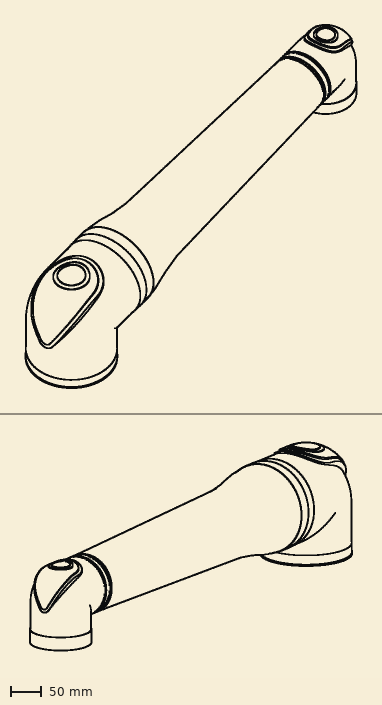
import cadquery as cq
import math

JOINT_SPACING = 732.0
ARM_AXIS_Z = 107.0
EDGE_STEP = 1.0

LARGE_RADIUS = 75.0
LARGE_FOOT_HEIGHT = 18.0
LIP_HEIGHT = 3.0
COLLAR_START = 90.0
COLLAR_SPLIT = 107.0
COLLAR_END = 128.0

SMALL_RADIUS = 50.0
SMALL_BOTTOM_Z = 26.0
SMALL_FOOT_HEIGHT = 22.0
SMALL_TUBE_LENGTH = 77.0
GROOVE_DEPTH = 2.0
GROOVES = ((59.0, 3.5), (75.0, 5.0))

FLARE_START = 227.5
FLARE_RADIUS = 60.0

BEND_RADIUS = 21.5
CAP_RISE = 3.5
RIM_RISE = 2.0
RIM_WIDTH = 5.0
CAP_NOSE_RADIUS = 51.5
CAP_NOSE_OFFSET = 37.0
CAP_SIDE_RADIUS = 160.5
CAP_TIP_RADIUS = 17.0
RING_OUTER_RADIUS = 30.0
RING_INNER_RADIUS = 23.0
RING_DEPTH = 1.3


def disc(radius, bottom, height):
    """Vertical cylinder on the Z axis."""
    return cq.Workplane("XY").workplane(offset=bottom).circle(radius).extrude(height)


def tube(radius, start, end, axis_z=ARM_AXIS_Z):
    """Cylinder along Y at the given axis height."""
    plane = cq.Plane(origin=(0, start, axis_z), xDir=(1, 0, 0), normal=(0, 1, 0))
    return cq.Workplane(plane).circle(radius).extrude(end - start)


def elbow(radius, bend_radius, bottom, tube_end):
    """Pipe bend from a vertical foot into a tube along +Y, creased at the inner corner."""
    bend_z = ARM_AXIS_Z - bend_radius
    half_chord = math.sqrt(radius**2 - bend_radius**2)
    plane = cq.Plane(origin=(0, bend_radius, bend_z), xDir=(1, 0, 0), normal=(0, -1, 0))
    bend = (
        cq.Workplane(plane)
        .moveTo(-half_chord, 0)
        .threePointArc((0, bend_radius + radius), (half_chord, 0))
        .close()
        .revolve(90, (0, 0), (1, 0))
    )
    foot = disc(radius, bottom, bend_z - bottom)
    return bend.union(foot).union(tube(radius, bend_radius, tube_end))


def cap_blank(radius, axis_z):
    """Ball-ended tube with a matching vertical stem, from which the cap is trimmed."""
    ball = cq.Workplane("XY").sphere(radius).translate((0, 0, axis_z))
    stem = disc(radius, axis_z - radius, radius)
    return ball.union(stem).union(tube(radius, 0, radius, axis_z))


def cap_outline(scale, inset):
    """Egg-shaped prism pointing diagonally up and away from the arm."""
    nose = (CAP_NOSE_RADIUS - inset) * scale
    nose_at = CAP_NOSE_OFFSET * scale
    side = (CAP_SIDE_RADIUS - inset) * scale
    tip = (CAP_TIP_RADIUS - inset) * scale
    tip_at = nose_at - math.sqrt((side - tip)**2 - (side - nose)**2)
    end_angle = math.acos((nose_at - tip_at) / (side - tip))
    tip_s = tip_at - tip * math.cos(end_angle)
    tip_x = tip * math.sin(end_angle)
    mid_angle = (end_angle + math.pi / 2) / 2
    mid_s = nose_at - side * math.cos(mid_angle)
    mid_x = nose - side + side * math.sin(mid_angle)
    plane = cq.Plane(origin=(0, 0, ARM_AXIS_Z), xDir=(0, 1, 1), normal=(0, -1, 1))
    return (
        cq.Workplane(plane)
        .moveTo(nose_at, nose)
        .threePointArc((nose_at + nose, 0), (nose_at, -nose))
        .threePointArc((mid_s, -mid_x), (tip_s, -tip_x))
        .threePointArc((tip_at - tip, 0), (tip_s, tip_x))
        .threePointArc((mid_s, mid_x), (nose_at, nose))
        .close()
        .extrude(2 * LARGE_RADIUS * scale)
    )


def cap(radius, scale):
    """Raised cap over the outer bend, with a lower rim and a shallow ring groove on top."""
    axis_z = ARM_AXIS_Z + CAP_RISE * scale
    rim_axis_z = ARM_AXIS_Z + RIM_RISE * scale
    rim = cap_blank(radius - EDGE_STEP / 2, rim_axis_z).intersect(cap_outline(scale, 0))
    crown = cap_blank(radius, axis_z).intersect(cap_outline(scale, RIM_WIDTH))
    ring = (
        cq.Workplane("XY")
        .workplane(offset=axis_z)
        .circle(RING_OUTER_RADIUS * scale)
        .circle(RING_INNER_RADIUS * scale)
        .extrude(2 * radius)
        .cut(cap_blank(radius - RING_DEPTH, axis_z))
    )
    return crown.cut(ring).union(rim.cut(ring))


def large_joint():
    wide = LARGE_RADIUS + EDGE_STEP
    middle = LARGE_RADIUS + EDGE_STEP / 2
    return (
        elbow(LARGE_RADIUS, BEND_RADIUS, LARGE_FOOT_HEIGHT, COLLAR_START)
        .union(disc(middle, 0, LARGE_FOOT_HEIGHT))
        .union(disc(wide, 0, LIP_HEIGHT))
        .union(tube(middle, COLLAR_START, COLLAR_SPLIT))
        .union(tube(wide, COLLAR_SPLIT, COLLAR_END))
        .union(cap(wide, 1))
    )


def small_joint():
    wide = SMALL_RADIUS + EDGE_STEP
    scale = SMALL_RADIUS / LARGE_RADIUS
    joint = (
        elbow(SMALL_RADIUS, BEND_RADIUS * scale, SMALL_BOTTOM_Z, SMALL_TUBE_LENGTH)
        .union(disc(wide, SMALL_BOTTOM_Z, SMALL_FOOT_HEIGHT))
        .union(cap(wide, scale))
    )
    for distance, width in GROOVES:
        start = distance - width / 2
        end = distance + width / 2
        groove = tube(wide, start, end).cut(tube(SMALL_RADIUS - GROOVE_DEPTH, start, end))
        joint = joint.cut(groove)
    return joint.rotate((0, 0, 0), (0, 0, 1), 180).translate((0, JOINT_SPACING, 0))


def arm():
    """Tapered round arm that flares smoothly into the large joint's collar."""
    far_end = JOINT_SPACING - SMALL_TUBE_LENGTH
    taper = (FLARE_RADIUS - SMALL_RADIUS, FLARE_START - far_end)
    return (
        cq.Workplane("XY")
        .moveTo(0, COLLAR_END)
        .lineTo(0, far_end)
        .lineTo(SMALL_RADIUS, far_end)
        .lineTo(FLARE_RADIUS, FLARE_START)
        .spline([(LARGE_RADIUS, COLLAR_END)], tangents=[taper, (0, -1)], includeCurrent=True)
        .close()
        .revolve(360, (0, 0), (0, 1))
        .translate((0, 0, ARM_AXIS_Z))
    )


result = large_joint().union(arm()).union(small_joint())